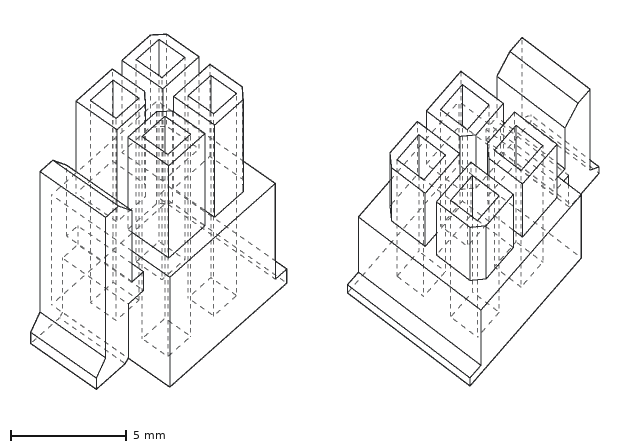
import cadquery as cq

body_width = 6.85
body_depth = 6.9
body_height = 7.72
flange_depth = 0.75
flange_height = 1.0

total_height = 14.2
tower_size = 2.37
tower_pitch = 3.0
tower_chamfer = 0.5
hole_size = 1.49
grid_center_y = body_depth / 2

latch_width = 3.8
latch_reach = 3.08
arm_outer = 2.47
upper_arm_inner = 0.74
lower_arm_inner = 1.0
bridge_bottom = 5.51
bridge_top = 6.83
latch_bottom = 1.5
latch_top = 13.01
latch_tip_inner = 1.63
tip_slope_start = 11.81
foot_corner = 0.2
foot_edge_top = 2.3
foot_slope_top = 3.14


def make_body():
    block = cq.Workplane("XY").box(body_width, body_depth, body_height, centered=(True, False, False))
    flange = cq.Workplane("XY").box(
        body_width, body_depth + flange_depth, flange_height, centered=(True, False, False)
    )
    return block.union(flange)


def make_tower(x, y, chamfer_side):
    """Square tower with its +Y corner chamfered on the -X (-1) or +X (+1) side."""
    corner = ">X and >Y" if chamfer_side > 0 else "<X and >Y"
    tower = cq.Workplane("XY").box(
        tower_size, tower_size, total_height - body_height, centered=(True, True, False)
    )
    tower = tower.edges("|Z").edges(corner).chamfer(tower_chamfer)
    return tower.translate((x, y, body_height))


def make_latch():
    profile = [
        (0, bridge_bottom),
        (lower_arm_inner, bridge_bottom),
        (lower_arm_inner, latch_bottom + foot_corner),
        (lower_arm_inner + foot_corner, latch_bottom),
        (latch_reach, latch_bottom),
        (latch_reach, foot_edge_top),
        (arm_outer, foot_slope_top),
        (arm_outer, latch_top),
        (latch_tip_inner, latch_top),
        (upper_arm_inner, tip_slope_start),
        (upper_arm_inner, bridge_top),
        (0, bridge_top),
    ]
    points = [(-out, height) for out, height in profile]
    return cq.Workplane("YZ").polyline(points).close().extrude(latch_width / 2, both=True)


result = make_body().union(make_latch())

for column in (-1, 1):
    for row in (-1, 1):
        x = column * tower_pitch / 2
        y = grid_center_y + row * tower_pitch / 2
        result = result.union(make_tower(x, y, column * row))

cavities = (
    cq.Workplane("XY")
    .center(0, grid_center_y)
    .rarray(tower_pitch, tower_pitch, 2, 2)
    .rect(hole_size, hole_size)
    .extrude(total_height)
)
result = result.cut(cavities)